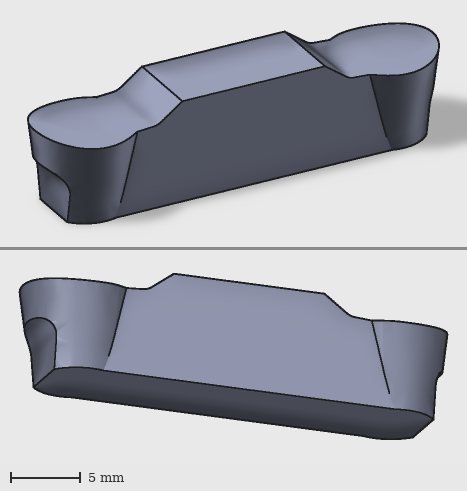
import cadquery as cq
import math

half_length = 16.18
height = 8.1
body_width = 6.15

head_width = 8.0
seat_height = 6.45
clearance_angle = 7.0
tip_height = 6.9
flank_angle = 30.0

crown_half_length = 5.8
slope_end = (7.48, 6.85)
rake_start = (8.25, 6.6)
rake_end = (11.25, 6.4)

relief_face = 14.6
relief_height = 2.33
relief_radius = 1.95

clearance_slope = math.tan(math.radians(clearance_angle))
base_radius = head_width / 2 - seat_height * clearance_slope
tip_radius = base_radius + tip_height * clearance_slope
top_radius = base_radius + height * clearance_slope
head_center = half_length - tip_radius


def flank_section(radius):
    """Triangle of the two flank tangent points and the point where the flanks meet."""
    angle = math.radians(flank_angle)
    tangent_x = radius * math.cos(angle)
    tangent_y = head_center - radius * math.sin(angle)
    meeting_y = head_center - radius / math.sin(angle)
    return [(-tangent_x, tangent_y), (tangent_x, tangent_y), (0, meeting_y)]


def make_head():
    """Full-height cone with flat flanks running tangentially back into the body."""
    cone = cq.Workplane(
        cq.Solid.makeCone(base_radius, top_radius, height, pnt=cq.Vector(0, head_center, 0))
    )
    flanks = (
        cq.Workplane("XY")
        .polyline(flank_section(base_radius)).close()
        .workplane(offset=height)
        .polyline(flank_section(top_radius)).close()
        .loft(ruled=True, combine=True)
    )
    return cone.union(flanks)


def make_side_envelope():
    """Side profile of one half, extruded across the width of the head."""
    profile = (
        cq.Workplane("YZ")
        .moveTo(0, 0)
        .lineTo(0, height)
        .lineTo(crown_half_length, height)
        .lineTo(*slope_end)
        .tangentArcPoint(rake_start, relative=False)
        .lineTo(*rake_end)
        .tangentArcPoint((half_length, tip_height), relative=False)
        .lineTo(half_length + relief_radius, tip_height)
        .lineTo(half_length + relief_radius, relief_height + relief_radius)
        .lineTo(relief_face + relief_radius, relief_height + relief_radius)
        .radiusArc((relief_face, relief_height), -relief_radius)
        .lineTo(relief_face, 0)
        .close()
    )
    return profile.extrude(head_width, both=True)


body_half = cq.Workplane("XY").box(body_width, head_center, height, centered=(True, False, False))
half = body_half.union(make_head()).intersect(make_side_envelope())
result = half.union(half.mirror("XZ")).clean()